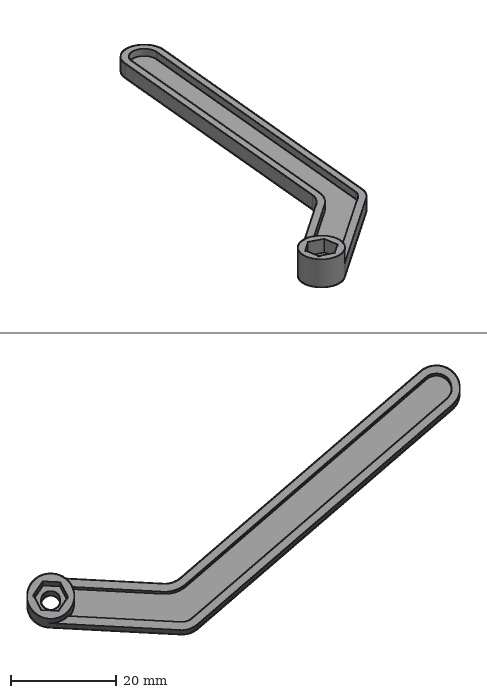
import cadquery as cq
import math

arm_width = 9.0
arm_height = 3.2
long_leg = 65.0
short_leg = 25.0
bend_angle = 45.0
inside_bend_radius = arm_width / 2

rim_width = 1.6
trough_depth = 1.6

boss_diameter = 9.0
boss_height = 6.2
screw_diameter = 3.7
nut_across_flats = 5.7
nut_depth = 3.0
nut_sides = 6

bend_radians = math.radians(bend_angle)
bend_x = long_leg
boss_x = bend_x + short_leg * math.cos(bend_radians)
boss_y = -short_leg * math.sin(bend_radians)

nut_across_corners = nut_across_flats / math.cos(math.pi / nut_sides)


def bent_bar(half_width, inside_radius, base_z, height):
    """Bar along both legs: round at the free end and at the bend, cut square on the boss axis."""
    normal_x = half_width * math.sin(bend_radians)
    normal_y = half_width * math.cos(bend_radians)
    outside_mid_x = bend_x + half_width * math.sin(bend_radians / 2)
    outside_mid_y = half_width * math.cos(bend_radians / 2)
    inside_corner_x = bend_x - half_width * math.tan(bend_radians / 2)
    bar = (
        cq.Workplane("XY", origin=(0, 0, base_z))
        .moveTo(0, half_width)
        .lineTo(bend_x, half_width)
        .threePointArc((outside_mid_x, outside_mid_y), (bend_x + normal_x, normal_y))
        .lineTo(boss_x + normal_x, boss_y + normal_y)
        .lineTo(boss_x - normal_x, boss_y - normal_y)
        .lineTo(inside_corner_x, -half_width)
        .lineTo(0, -half_width)
        .threePointArc((-half_width, 0), (0, half_width))
        .close()
        .extrude(height)
    )
    inside_edge = cq.selectors.NearestToPointSelector((inside_corner_x, -half_width, base_z + height / 2))
    return bar.edges("|Z").edges(inside_edge).fillet(inside_radius)


def make_arm():
    """Bent bar at full height all over, before the trough is cut."""
    return bent_bar(arm_width / 2, inside_bend_radius, 0, arm_height)


def boss_cylinder(base_z, top_z):
    """Round boss body between two heights."""
    return (
        cq.Workplane("XY", origin=(boss_x, boss_y, base_z))
        .circle(boss_diameter / 2)
        .extrude(top_z - base_z)
    )


def make_trough():
    """Volume removed from the arm top; it stops against the side of the boss."""
    floor_z = arm_height - trough_depth
    trough = bent_bar(arm_width / 2 - rim_width, inside_bend_radius + rim_width, floor_z, trough_depth)
    return trough.cut(boss_cylinder(floor_z, arm_height))


def make_screw_hole():
    """Through hole along the boss axis."""
    return cq.Workplane("XY").center(boss_x, boss_y).circle(screw_diameter / 2).extrude(boss_height)


def make_nut_pocket():
    """Hexagonal pocket in the boss top, with one corner pointing along the short leg."""
    return (
        cq.Workplane("XY", origin=(boss_x, boss_y, boss_height - nut_depth))
        .transformed(rotate=(0, 0, -bend_angle))
        .polygon(nut_sides, nut_across_corners)
        .extrude(nut_depth)
    )


body = make_arm().union(boss_cylinder(0, boss_height)).cut(make_trough())
result = body.cut(make_screw_hole()).cut(make_nut_pocket())